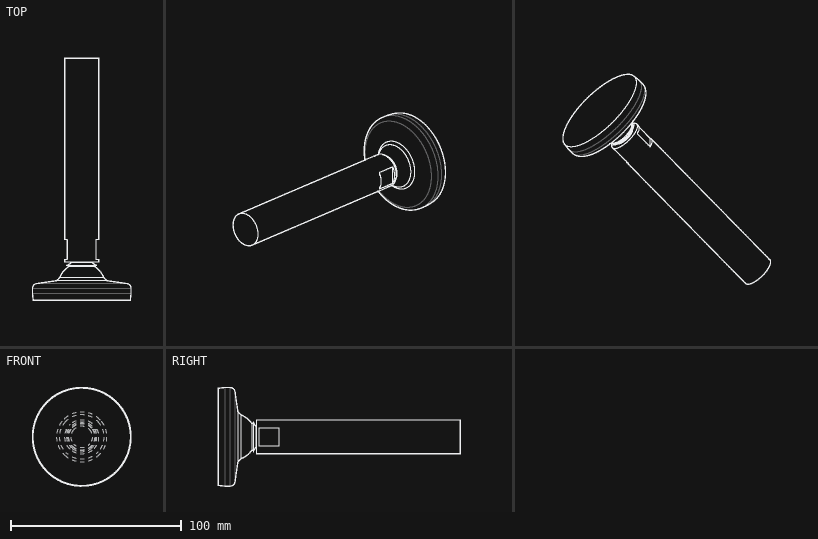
import cadquery as cq
import math

overall_length = 142.0

foot_radius = 29.0
foot_base_radius = 28.55
taper_height = 4.0
shoulder_height = 9.6
shoulder_slope = 8.2
rim_fillet = 3.0
dome_radius = 14.0
dome_center_height = 8.2
dome_top_height = 19.9
skirt_top_height = 13.3

stud_radius = 10.0
stud_start = 22.4
neck_radius = 6.3
neck_end = 22.1
lip_radius = 8.8
lip_height = 20.6
flare_middle = (7.2, 21.4)
collar_radius = 8.0
flat_start = 24.0
flat_end = 35.6
across_flats = 17.0


def turn(outline):
    """Revolve a closed outline of (radius, height) points about the Y axis."""
    return outline.close().revolve(360, (0, 0, 0), (0, 1, 0))


def make_dish():
    """Round foot plate: tapered base, straight band and conical top with a rounded rim."""
    apex_height = shoulder_height + foot_radius * math.tan(math.radians(shoulder_slope))
    dish = turn(
        cq.Workplane("XY")
        .lineTo(foot_base_radius, 0)
        .lineTo(foot_radius, taper_height)
        .lineTo(foot_radius, shoulder_height)
        .lineTo(0, apex_height)
    )
    rim = cq.selectors.NearestToPointSelector((0, shoulder_height, 0))
    return dish.edges("%CIRCLE").edges(rim).fillet(rim_fillet)


def make_dome():
    """Spherical dome with a flat top and a conical skirt where it meets the plate."""
    top_offset = dome_top_height - dome_center_height
    skirt_offset = skirt_top_height - dome_center_height
    top_radius = math.sqrt(dome_radius**2 - top_offset**2)
    skirt_top_radius = math.sqrt(dome_radius**2 - skirt_offset**2)
    mid_angle = (math.asin(top_offset / dome_radius) + math.asin(skirt_offset / dome_radius)) / 2
    mid_point = (
        dome_radius * math.cos(mid_angle),
        dome_center_height + dome_radius * math.sin(mid_angle),
    )
    skirt_height = skirt_top_height - shoulder_height
    return turn(
        cq.Workplane("XY")
        .moveTo(0, shoulder_height)
        .lineTo(skirt_top_radius + skirt_height, shoulder_height)
        .lineTo(skirt_top_radius, skirt_top_height)
        .threePointArc(mid_point, (top_radius, dome_top_height))
        .lineTo(0, dome_top_height)
    )


def make_stud():
    """Plain round stud with two wrench flats, on a flared neck and collar that rest on the dome."""
    stud = turn(
        cq.Workplane("XY")
        .moveTo(0, dome_top_height)
        .lineTo(collar_radius, dome_top_height)
        .lineTo(collar_radius, lip_height)
        .lineTo(lip_radius, lip_height)
        .threePointArc(flare_middle, (neck_radius, neck_end))
        .lineTo(neck_radius, stud_start)
        .lineTo(stud_radius, stud_start)
        .lineTo(stud_radius, overall_length)
        .lineTo(0, overall_length)
    )
    flat_length = flat_end - flat_start
    for side in (-1, 1):
        cutter = cq.Workplane("XY").box(stud_radius, flat_length, 2 * stud_radius)
        cutter_x = side * (across_flats + stud_radius) / 2
        stud = stud.cut(cutter.translate((cutter_x, (flat_start + flat_end) / 2, 0)))
    return stud


foot = make_dish().union(make_dome())
stud = make_stud()

result = cq.Compound.makeCompound([foot.val(), stud.val()])